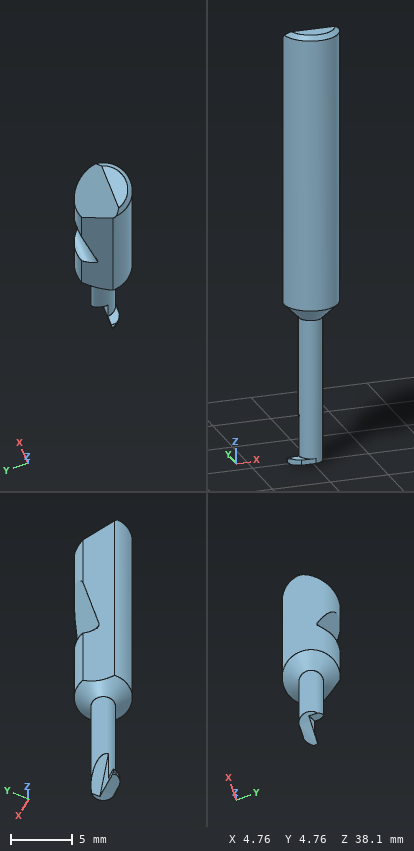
import cadquery as cq
import math

length = 38.1
shank_radius = 2.38
neck_radius = 1.01

neck_bottom = 0.1
cone_top = 14.05
cone_bottom = cone_top - (shank_radius - neck_radius)
end_chamfer = 0.38

flat_distance = 1.98
flat_direction = 144.7

bevel_start_y = -0.6

notch_top = 29.82
notch_bottom = 21.18
notch_depth = 1.25
notch_radius = 1.0

relief_top = 4.2
relief_angle = 22.3

tip_reach = 2.0
tip_x = -1.8
hook_top = 0.57
heel_x = 0.1
flank_end = (-1.1, -1.0)
nose_mid = (-1.75, -0.55)

clearance = 2 * shank_radius


def make_body():
    """Shank, cone and neck as one turned shape."""
    profile = [
        (0, neck_bottom),
        (neck_radius, neck_bottom),
        (neck_radius, cone_bottom),
        (shank_radius, cone_top),
        (shank_radius, length - end_chamfer),
        (shank_radius - end_chamfer, length),
        (0, length),
    ]
    turned = cq.Workplane("XZ").polyline(profile).close()
    return turned.revolve(360, (0, 0, 0), (0, 1, 0))


def flat_cutter():
    """Block that leaves a flat along the whole shank."""
    block = cq.Workplane("XY").box(clearance, 2 * clearance, length, centered=(False, True, False))
    block = block.translate((flat_distance, 0, 0))
    return block.rotate((0, 0, 0), (0, 0, 1), flat_direction)


def cut_along_x(outline):
    """Extrude a closed YZ outline across the full width."""
    return outline.close().extrude(clearance, both=True)


def bevel_cutter():
    outer_y = clearance
    outline = cq.Workplane("YZ").polyline([
        (bevel_start_y, length),
        (outer_y, length - (outer_y - bevel_start_y)),
        (outer_y, length),
    ])
    return cut_along_x(outline)


def notch_cutter():
    """Sloping floor ending in a rounded step."""
    floor_y = shank_radius - notch_depth
    arc_center = (floor_y + notch_radius, notch_bottom + notch_radius)
    arc_offset = notch_radius * math.sqrt(0.5)
    outline = (
        cq.Workplane("YZ")
        .moveTo(clearance, notch_top)
        .lineTo(shank_radius, notch_top)
        .lineTo(floor_y, arc_center[1])
        .threePointArc(
            (arc_center[0] - arc_offset, arc_center[1] - arc_offset),
            (arc_center[0], notch_bottom),
        )
        .lineTo(clearance, notch_bottom)
    )
    return cut_along_x(outline)


def relief_cutter():
    """Wedge on the +Y half of the neck that deepens towards the tip."""
    depth = relief_top * math.tan(math.radians(relief_angle))
    wedge = cq.Workplane("XZ").polyline([
        (-neck_radius, relief_top),
        (-neck_radius + depth, 0),
        (-neck_radius, 0),
    ]).close()
    return wedge.extrude(-clearance)


def make_hook():
    """Hook below the rake face at Y = 0, with its underside rising from the tip."""
    plan = (
        cq.Workplane("XY")
        .moveTo(heel_x, 0)
        .lineTo(heel_x, -neck_radius)
        .lineTo(*flank_end)
        .threePointArc(nose_mid, (-tip_reach, 0))
        .close()
        .extrude(hook_top)
    )
    side = cq.Workplane("XZ").polyline([
        (-tip_reach, neck_bottom),
        (tip_x, 0),
        (heel_x, neck_bottom),
        (heel_x, hook_top),
        (tip_x, hook_top),
        (-tip_reach, hook_top - neck_bottom),
    ]).close().extrude(neck_radius)
    underside = cq.Workplane("YZ").polyline([
        (0, 0),
        (-neck_radius, neck_bottom),
        (-neck_radius, hook_top),
        (0, hook_top),
    ])
    return plan.intersect(side).intersect(cut_along_x(underside))


result = (
    make_body()
    .cut(flat_cutter())
    .cut(bevel_cutter())
    .cut(notch_cutter())
    .cut(relief_cutter())
    .union(make_hook())
)